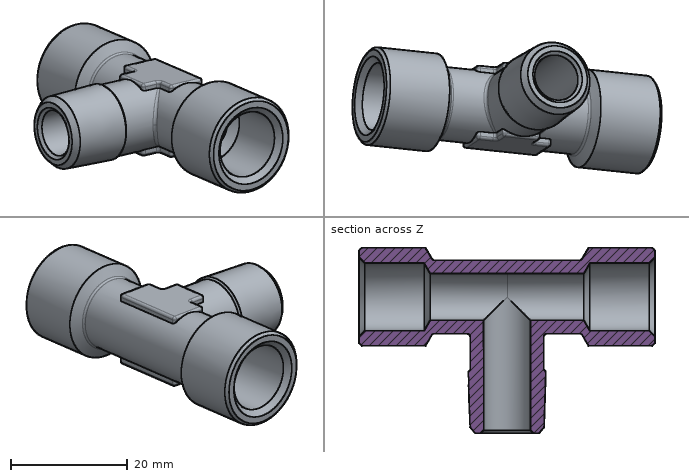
import cadquery as cq
import math

run_length = 51.0
neck_radius = 12.7 / 2
socket_radius = 17.0 / 2
socket_body_length = 11.5
socket_rim_chamfer = 0.5
shoulder_angle = 60.0
shoulder_fillet = 0.5

bore_radius = 8.0 / 2
socket_bore_radius = 5.8
socket_mouth_radius = 6.85
socket_bore_depth = 11.2
mouth_angle = 45.0
drill_point_angle = 60.0

overall_depth = 32.0
branch_reach = overall_depth - socket_radius
spigot_start = 12.5
spigot_root_radius = 13.4 / 2
spigot_taper = 1 / 16
spigot_tip_radius = 5.5
spigot_tip_chamfer = 1.05
branch_mouth_radius = 9.15 / 2
crotch_fillet = 0.5

pad_half_height = 6.6
pad_reach = 6.9
pad_arm_half_width = 3.45
pad_fillet = 0.5

half_run = run_length / 2


def cone_length(large_radius, small_radius, slope):
    """Axial length of a cone between two radii, sloping by an angle in degrees."""
    return (large_radius - small_radius) / math.tan(math.radians(slope))


def revolve_about_x(outline):
    return outline.close().revolve(360, (0, 0, 0), (1, 0, 0))


def revolve_about_y(outline):
    return outline.close().revolve(360, (0, 0, 0), (0, 1, 0))


def pad_block():
    """One rounded T block through the crossing forms both flats."""
    arm = pad_arm_half_width
    outline = [
        (-pad_reach, arm),
        (pad_reach, arm),
        (pad_reach, -arm),
        (arm, -arm),
        (arm, -pad_reach),
        (-arm, -pad_reach),
        (-arm, -arm),
        (-pad_reach, -arm),
    ]
    block = cq.Workplane("XY").polyline(outline).close().extrude(pad_half_height, both=True)
    return block.edges().fillet(pad_fillet)


def crossing():
    """Equal run and branch tubes with the flats, rounded where the tubes meet."""
    run = cq.Workplane("YZ").circle(neck_radius).extrude(half_run - socket_body_length, both=True)
    branch = cq.Workplane("XZ").circle(neck_radius).extrude(spigot_start)
    body = run.union(branch).union(pad_block())
    return body.edges("%ELLIPSE").fillet(crotch_fillet)


def socket():
    """Socket and shoulder cone at the +X end, blended into the neck."""
    shoulder_start = half_run - socket_body_length
    shoulder_end = shoulder_start - cone_length(socket_radius, neck_radius, shoulder_angle)
    cone_slope = math.radians(shoulder_angle)
    blend_run = shoulder_fillet * math.tan(cone_slope / 2)
    blend_start = shoulder_end - blend_run
    blend_end = (
        shoulder_end + blend_run * math.cos(cone_slope),
        neck_radius + blend_run * math.sin(cone_slope),
    )
    blend_middle = (
        blend_start + shoulder_fillet * math.sin(cone_slope / 2),
        neck_radius + shoulder_fillet * (1 - math.cos(cone_slope / 2)),
    )
    outline = (
        cq.Workplane("XY")
        .moveTo(blend_start, 0)
        .lineTo(blend_start, neck_radius)
        .threePointArc(blend_middle, blend_end)
        .lineTo(shoulder_start, socket_radius)
        .lineTo(half_run - socket_rim_chamfer, socket_radius)
        .lineTo(half_run, socket_radius - socket_rim_chamfer)
        .lineTo(half_run, 0)
    )
    return revolve_about_x(outline)


def socket_bore():
    """Bore from the crossing out to the +X end, widened in the socket."""
    bore_end = half_run - socket_bore_depth
    cone_start = bore_end - cone_length(socket_bore_radius, bore_radius, drill_point_angle)
    mouth_start = half_run - cone_length(socket_mouth_radius, socket_bore_radius, mouth_angle)
    outline = (
        cq.Workplane("XY")
        .lineTo(0, bore_radius)
        .lineTo(cone_start, bore_radius)
        .lineTo(bore_end, socket_bore_radius)
        .lineTo(mouth_start, socket_bore_radius)
        .lineTo(half_run, socket_mouth_radius)
        .lineTo(half_run, 0)
    )
    return revolve_about_x(outline)


def spigot():
    """Tapered spigot with a short chamfered step at its root and a chamfered tip."""
    root = spigot_start + spigot_root_radius - neck_radius
    taper_end = branch_reach - spigot_tip_chamfer
    taper_end_radius = spigot_root_radius - (taper_end - root) * spigot_taper / 2
    outline = (
        cq.Workplane("XY")
        .moveTo(0, -spigot_start)
        .lineTo(neck_radius, -spigot_start)
        .lineTo(spigot_root_radius, -root)
        .lineTo(taper_end_radius, -taper_end)
        .lineTo(spigot_tip_radius, -branch_reach)
        .lineTo(0, -branch_reach)
    )
    return revolve_about_y(outline)


def branch_bore():
    """Bore from the crossing out to the spigot tip, with a chamfered mouth."""
    mouth_depth = cone_length(branch_mouth_radius, bore_radius, mouth_angle)
    outline = (
        cq.Workplane("XY")
        .lineTo(bore_radius, 0)
        .lineTo(bore_radius, mouth_depth - branch_reach)
        .lineTo(branch_mouth_radius, -branch_reach)
        .lineTo(0, -branch_reach)
    )
    return revolve_about_y(outline)


body = crossing().union(spigot())
for end in (socket(), socket().mirror("YZ")):
    body = body.union(end)
for bore in (socket_bore(), socket_bore().mirror("YZ"), branch_bore()):
    body = body.cut(bore)

result = body